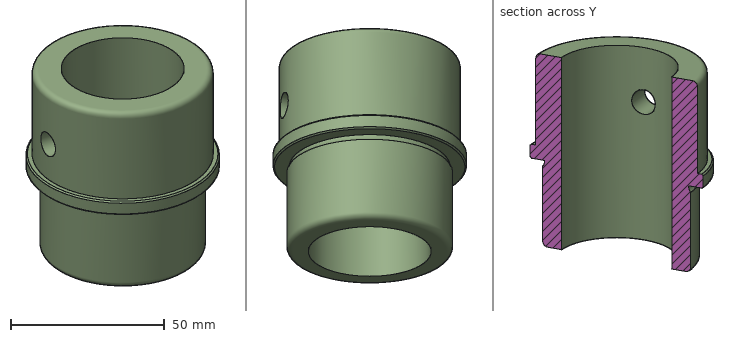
import cadquery as cq
import math

total_height = 67.0
bore_diameter = 40.0

lower_diameter = 54.0
lower_end_radius = 2.0

neck_height = 2.0
neck_arc_radius = 3.0

flange_diameter = 63.0
flange_bottom = 30.0
flange_thickness = 5.0
flange_chamfer = 0.5

upper_diameter = 59.0
upper_end_radius = 2.0

hole_diameter = 8.5
hole_drop = 19.0

lower_radius = lower_diameter / 2
neck_depth = neck_arc_radius - math.sqrt(neck_arc_radius**2 - neck_height**2)
neck_radius = lower_radius - neck_depth
flange_top = flange_bottom + flange_thickness
upper_radius = upper_diameter / 2


def shaft(diameter, bottom, top):
    """Plain cylinder on the Z axis between two heights."""
    return cq.Workplane("XY").workplane(offset=bottom).circle(diameter / 2).extrude(top - bottom)


def lower_shaft():
    """Lower spigot with a rounded bottom edge and a concave neck that meets the flange at a right angle."""
    neck_bottom = flange_bottom - neck_height
    spigot = shaft(lower_diameter, 0, neck_bottom).faces("<Z").edges().fillet(lower_end_radius)
    neck = (
        cq.Workplane("XZ")
        .moveTo(0, neck_bottom)
        .lineTo(lower_radius, neck_bottom)
        .radiusArc((neck_radius, flange_bottom), neck_arc_radius)
        .lineTo(0, flange_bottom)
        .close()
        .revolve(360, (0, 0, 0), (0, 1, 0))
    )
    return spigot.union(neck)


def flange():
    """Collar with both rims chamfered."""
    collar = shaft(flange_diameter, flange_bottom, flange_top)
    return collar.edges().chamfer(flange_chamfer)


def upper_shaft():
    """Upper head with a rounded top edge."""
    head = shaft(upper_diameter, flange_top, total_height)
    return head.faces(">Z").edges().fillet(upper_end_radius)


def bore():
    """Through bore along Z."""
    return shaft(bore_diameter, 0, total_height)


def radial_hole():
    """Cross hole through the -Y wall only, ending on the bore axis."""
    return (
        cq.Workplane("XZ")
        .center(0, total_height - hole_drop)
        .circle(hole_diameter / 2)
        .extrude(upper_radius)
    )


body = lower_shaft().union(flange()).union(upper_shaft())
result = body.cut(bore()).cut(radial_hole())